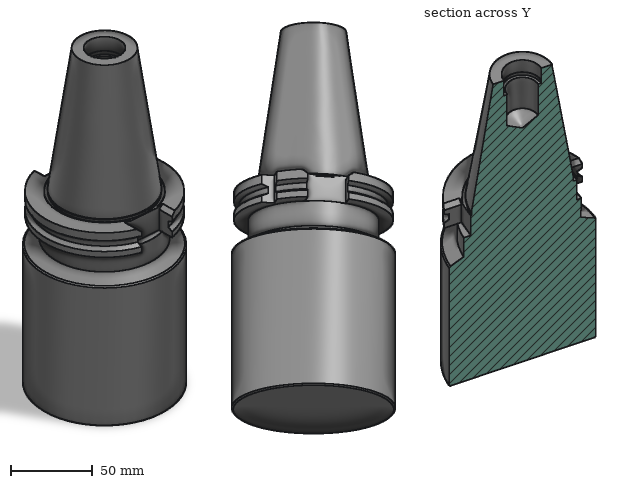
import cadquery as cq
import math

total_height = 241.5
body_radius = 100.0 / 2
body_top = 100.7
edge_chamfer = 1.0

neck_radius = 80.0 / 2
shoulder_top = 105.0

flange_radius = 97.4 / 2
flange_bottom = 121.0
flange_top = 138.7
groove_radius = 45.5
groove_center = 129.0
groove_floor_width = 3.9
groove_flank_angle = math.radians(30)

relief_radius = 74.0 / 2
relief_depth = 1.0

collar_radius = 69.3 / 2
collar_top = 139.5
taper_bottom = 140.1
taper_bottom_radius = 69.8 / 2
taper_ratio = 7 / 24
taper_top_radius = taper_bottom_radius - (total_height - taper_bottom) * taper_ratio / 2

counterbore_radius = 25.4 / 2
counterbore_depth = 10.1
step_radius = 25.1 / 2
step_depth = 12.5
bore_radius = 21.0 / 2
bore_depth = 38.7
drill_point_angle = math.radians(118)

slot_width = 25.4
slot_chamfer_width = 3.1
slot_chamfer_depth = 2.7
slot_floor_left = 37.2
slot_floor_right = 35.3
notch_offset = 30.2


def revolve(points):
    """Revolve a closed radius-height outline around Z."""
    return cq.Workplane("XZ").polyline(points).close().revolve(360, (0, 0), (0, 1))


def make_body():
    groove_half_floor = groove_floor_width / 2
    groove_half_mouth = groove_half_floor + (flange_radius - groove_radius) * math.tan(groove_flank_angle)
    return revolve([
        (0, 0),
        (body_radius - edge_chamfer, 0),
        (body_radius, edge_chamfer),
        (body_radius, body_top - edge_chamfer),
        (body_radius - edge_chamfer, body_top),
        (neck_radius, shoulder_top),
        (neck_radius, flange_bottom),
        (flange_radius, flange_bottom),
        (flange_radius, groove_center - groove_half_mouth),
        (groove_radius, groove_center - groove_half_floor),
        (groove_radius, groove_center + groove_half_floor),
        (flange_radius, groove_center + groove_half_mouth),
        (flange_radius, flange_top),
        (relief_radius, flange_top),
        (relief_radius, flange_top - relief_depth),
        (collar_radius, flange_top - relief_depth),
        (collar_radius, collar_top),
        (taper_bottom_radius, taper_bottom),
        (taper_top_radius, total_height),
        (0, total_height),
    ])


def make_bore():
    point_depth = bore_radius / math.tan(drill_point_angle / 2)
    return revolve([
        (0, total_height),
        (counterbore_radius, total_height),
        (counterbore_radius, total_height - counterbore_depth),
        (step_radius, total_height - counterbore_depth),
        (step_radius, total_height - step_depth),
        (bore_radius, total_height - step_depth),
        (bore_radius, total_height - bore_depth),
        (0, total_height - bore_depth - point_depth),
    ])


def make_slot(floor_x, side):
    """Drive slot through the flange height, open outward on the given X side."""
    half_width = slot_width / 2
    half_mouth = half_width + slot_chamfer_width
    chamfer_bottom = flange_top - slot_chamfer_depth
    return (
        cq.Workplane("YZ", origin=(side * floor_x, 0, 0))
        .polyline([
            (-half_width, flange_bottom),
            (half_width, flange_bottom),
            (half_width, chamfer_bottom),
            (half_mouth, flange_top),
            (-half_mouth, flange_top),
            (-half_width, chamfer_bottom),
        ])
        .close()
        .extrude(side * flange_radius)
    )


def make_notch():
    """Square corner removed from the flange rim at -X, +Y."""
    return (
        cq.Workplane("XY", origin=(-notch_offset, notch_offset, flange_bottom))
        .rect(-flange_radius, flange_radius, centered=False)
        .extrude(flange_top - flange_bottom)
    )


result = make_body().cut(make_bore()).cut(make_notch())
result = result.cut(make_slot(slot_floor_left, -1))
result = result.cut(make_slot(slot_floor_right, 1))